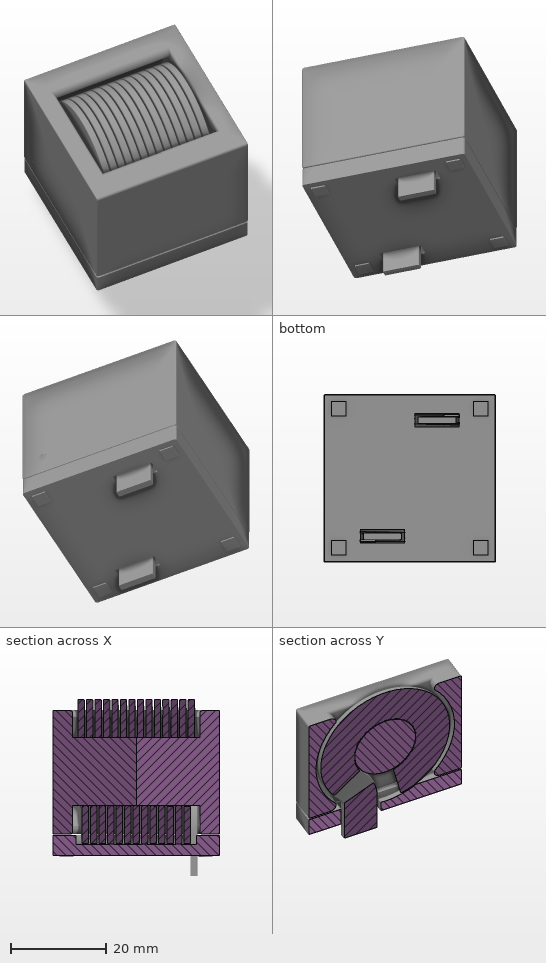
import cadquery as cq
import math


width = 36.0
depth = 35.2
total_height = 37.2

wire_width = 8.0
wire_thickness = 1.45
wire_round = 0.22
coil_radius = 15.2
bend_angle = 40.0
turns = 13.5 + 2 * bend_angle / 360
winding_radius = coil_radius - wire_width / 2
winding_end_y = 12.25
coil_pitch = 2 * winding_end_y / turns
lead_x = 5.73
lead_y = 12.2
lead_straight_top = -13.02
lead_bottom = coil_radius - total_height

core_height = 26.05
core_top = 12.87
core_bottom = core_top - core_height
core_edge_round = 0.5
core_face_round = 0.25
post_diameter = 14.4
cavity_radius = 16.22
cavity_half_length = 13.3
opening_half_width = 11.5
wide_lip = 1.4
narrow_lip = 1.25
end_lip = 0.6

dot_diameter = 1.53
dot_depth = 0.07
dot_x = -13.25
dot_z = -8.63

base_gap = 0.22
base_thickness = 4.28
base_top = core_bottom - base_gap
base_bottom = base_top - base_thickness
base_corner_round = 0.5
trough_radius = coil_radius + 0.05
trough_half_length = 12.57
lead_clearance = 0.67
foot_side = 3.0
foot_height = 0.3
foot_x = 14.95
foot_y = 14.62


def cylinder_along_y(radius, y_start, y_end):
    """Solid cylinder on the coil axis between two Y positions."""
    return cq.Workplane("XZ", origin=(0, y_start, 0)).circle(radius).extrude(y_start - y_end)


def flared_slot(plane, half_width, right_lip, left_lip, half_length):
    """Through slot along Z whose walls curve outward at both ends, drawn on a vertical plane."""
    bulge = 1 - math.sqrt(0.5)
    right_bulge = half_width + right_lip * bulge
    left_bulge = -half_width - left_lip * bulge
    return (
        cq.Workplane(plane)
        .moveTo(half_width + right_lip, core_top)
        .threePointArc((right_bulge, core_top - right_lip * bulge), (half_width, core_top - right_lip))
        .lineTo(half_width, core_bottom + right_lip)
        .threePointArc((right_bulge, core_bottom + right_lip * bulge), (half_width + right_lip, core_bottom))
        .lineTo(-half_width - left_lip, core_bottom)
        .threePointArc((left_bulge, core_bottom + left_lip * bulge), (-half_width, core_bottom + left_lip))
        .lineTo(-half_width, core_top - left_lip)
        .threePointArc((left_bulge, core_top - left_lip * bulge), (-half_width - left_lip, core_top))
        .close()
        .extrude(half_length, both=True)
    )


def make_core_half():
    """Front half of the core: outer shell, winding cavity, openings and centre post."""
    shell = (
        cq.Workplane("XY", origin=(0, -depth / 4, core_bottom))
        .rect(width, depth / 2)
        .extrude(core_height)
        .edges("|Y").fillet(core_edge_round)
        .faces("<Y").edges().fillet(core_face_round)
    )
    cavity = cylinder_along_y(cavity_radius, -cavity_half_length, 0)
    opening = flared_slot("XZ", opening_half_width, wide_lip, narrow_lip, depth).intersect(
        flared_slot("YZ", cavity_half_length, end_lip, end_lip, width)
    )
    post = cylinder_along_y(post_diameter / 2, -cavity_half_length, 0)
    return shell.cut(cavity).cut(opening).union(post)


def cut_marking_dot(core_half):
    """Shallow round mark in the front face."""
    dot = (
        cq.Workplane("XZ", origin=(dot_x, -depth / 2, dot_z))
        .circle(dot_diameter / 2)
        .extrude(-dot_depth)
    )
    return core_half.cut(dot)


def make_coil():
    """One wire: a helix whose two ends bend inward and run straight down through the base.

    The wire is swept with the coil axis as the local Z axis and local Y as the upward direction.
    """
    helix = cq.Wire.makeHelix(
        coil_pitch, 2 * winding_end_y, winding_radius, center=cq.Vector(0, 0, -winding_end_y), lefthand=True
    ).rotate(cq.Vector(0, 0, 0), cq.Vector(0, 0, 1), 180 + bend_angle)

    sine = math.sin(math.radians(bend_angle))
    cosine = math.cos(math.radians(bend_angle))
    bend_x = winding_radius * cosine
    bend_drop = winding_radius * sine
    axial_slope = coil_pitch / (2 * math.pi * winding_radius)
    back_tip = cq.Vector(-lead_x, lead_bottom, -lead_y)
    back_knee = cq.Vector(-lead_x, lead_straight_top, -lead_y)
    back_start = cq.Vector(-bend_x, -bend_drop, -winding_end_y)
    front_end = cq.Vector(bend_x, -bend_drop, winding_end_y)
    front_knee = cq.Vector(lead_x, lead_straight_top, lead_y)
    front_tip = cq.Vector(lead_x, lead_bottom, lead_y)

    upward = cq.Vector(0, 1, 0)
    downward = cq.Vector(0, -1, 0)
    start_direction = cq.Vector(-sine, cosine, axial_slope)
    end_direction = cq.Vector(-sine, -cosine, axial_slope)
    path = cq.Wire.assembleEdges([
        cq.Edge.makeLine(back_tip, back_knee),
        cq.Edge.makeSpline([back_knee, back_start], tangents=[upward, start_direction]),
        *helix.Edges(),
        cq.Edge.makeSpline([front_end, front_knee], tangents=[end_direction, downward]),
        cq.Edge.makeLine(front_knee, front_tip),
    ])
    guide = path.translate(cq.Vector(0, 0, wire_width))
    wire_section = cq.Sketch().rect(wire_width, wire_thickness).vertices().fillet(wire_round)
    return (
        cq.Workplane("XZ", origin=back_tip.toTuple())
        .placeSketch(wire_section)
        .sweep(path, auxSpine=cq.Workplane(obj=guide))
        .rotate((0, 0, 0), (1, 0, 0), 90)
    )


def make_base():
    """Base plate with a trough under the coil, a hole for each lead and four square feet."""
    plate = (
        cq.Workplane("XY", origin=(0, 0, base_bottom))
        .rect(width, depth)
        .extrude(base_thickness)
        .edges("|Z").fillet(base_corner_round)
    )
    trough = cylinder_along_y(trough_radius, -trough_half_length, trough_half_length)
    lead_holes = (
        cq.Workplane("XY", origin=(0, 0, base_bottom))
        .pushPoints([(-lead_x, lead_y), (lead_x, -lead_y)])
        .rect(wire_width + 2 * lead_clearance, wire_thickness + 2 * lead_clearance)
        .extrude(base_thickness)
    )
    feet = (
        cq.Workplane("XY", origin=(0, 0, base_bottom))
        .rect(2 * foot_x, 2 * foot_y, forConstruction=True).vertices()
        .rect(foot_side, foot_side)
        .extrude(-foot_height)
    )
    return plate.cut(trough).cut(lead_holes).union(feet)


plain_half = make_core_half()
front_core_half = cut_marking_dot(plain_half)
back_core_half = plain_half.rotate((0, 0, 0), (0, 0, 1), 180)
coil = make_coil()
base = make_base()

result = cq.Compound.makeCompound([
    front_core_half.solids().val(),
    back_core_half.solids().val(),
    coil.val(),
    base.solids().val(),
])